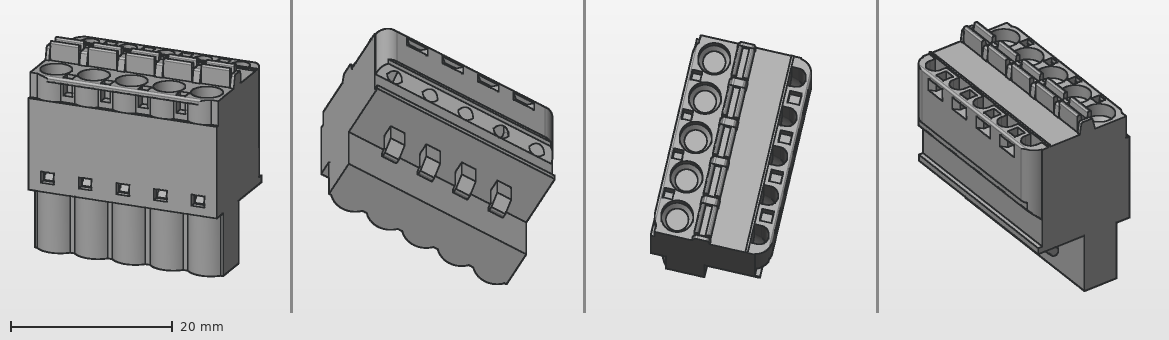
import cadquery as cq
import math


POLES = 5
PITCH = 5.08
WIDTH = POLES * PITCH
POLE_XS = [(i - (POLES - 1) / 2) * PITCH for i in range(POLES)]
GAP_XS = [x + PITCH / 2 for x in POLE_XS[:-1]]

HOUSING_BOTTOM = 8.3
HOUSING_TOP = 23.65
HOUSING_BACK = 13.27
FOOT_BACK = 13.9
FOOT_TOP = 9.2
WIRE_WALL_BACK = 15.0
WIRE_WALL_STEP_Z = 15.63
WIRE_WALL_CHAMFER_Z = 14.5
WIRE_WALL_LOW_Z = 13.15
EDGE_ROUND = 0.27
WIRE_WALL_STEP_BACK = WIRE_WALL_BACK - EDGE_ROUND
CORNER_SHOULDER = 0.12
CORNER_RUN = 2.0
CORNER_RISE = WIRE_WALL_BACK - HOUSING_BACK
CORNER_RADIUS = (CORNER_RUN**2 + CORNER_RISE**2) / (2 * CORNER_RISE)

LEDGE_Z = 20.4
SCREW_Y = 2.8
SCALLOP_RADIUS = SCREW_Y
SCALLOP_HALF_CHORD = 1.58
RECESS_Y = SCREW_Y - math.sqrt(SCALLOP_RADIUS**2 - SCALLOP_HALF_CHORD**2)
LIP_BOTTOM = 22.96

SCREW_HOLE_RADIUS = 2.0
SCREW_SEAT_RADIUS = 1.4
SCREW_HOLE_DEPTH = 1.75
SCREW_CONE_DEPTH = 0.7

POCKET_FLOOR = 21.25
FRONT_POCKET = 1.25
BACK_POCKET = 1.5
BACK_POCKET_FRONT = 12.84
BACK_WINDOW_WIDTH = 3.0

WIRE_RADIUS = 1.19
WIRE_FRONT = 12.34
WIRE_Y = 13.23
WIRE_FLOOR_TILT = 30.0

RIDGE_WIDTH = 0.31
RIDGE_HEIGHT = 0.22

RAIL_TOP = 26.1
WEB_TOP = 25.35
WEB_BASE_FRONT = 5.24
WEB_BASE_BACK = 7.55
WEB_TOP_FRONT = 5.65
WEB_TOP_BACK = 7.31
WEB_ROUND = 0.28
FINGER_WIDTH = 3.84
FINGER_GAP = 0.13
FINGERS_FRONT = 5.39
FINGERS_BACK = 7.48
SLOT_FLOOR = 25.0
SLOT_FRONT = 6.0
SLOT_BACK = 6.8
SLOT_FLARE = 0.12
FINGER_ROUND = 0.2

WINDOW_WIDTH = 1.75
WINDOW_BOTTOM = 9.48
WINDOW_TOP = 10.94
WINDOW_DEPTH = 0.83
WEDGE_WIDTH = 1.2
WEDGE_FRONT = 0.4
WEDGE_BOTTOM = 9.65
WEDGE_STEP = 9.78
WEDGE_TOP = 10.7

PLUG_FRONT = 1.95
PLUG_BACK = 6.85
PLUG_BULGE = 0.97
PLUG_HALF_CHORD = 2.235

HOOK_WIDTH = 2.0
HOOK_FRONT = 8.5
HOOK_BACK = 10.17
HOOK_BEND_Z = 5.15
HOOK_BOTTOM = 3.7
HOOK_TIP_Y = 7.95
HOOK_TIP_ROUND = 0.4

OVERLAP = 0.2


def block(x_center, x_size, y_min, y_max, z_min, z_max):
    """Rectangular block centred in X and spanning the given Y and Z ranges."""
    size = (x_size, y_max - y_min, z_max - z_min)
    return cq.Workplane("XY").box(*size, centered=(True, False, False)).translate((x_center, y_min, z_min))


def extrude_along_x(side_points, x_center, x_size):
    """Extrude a closed (y, z) polygon symmetrically about x_center."""
    return (
        cq.Workplane("YZ", origin=(x_center, 0, 0))
        .polyline(side_points)
        .close()
        .extrude(x_size / 2, both=True)
    )


def make_housing():
    """Side profile of the housing, trimmed to the round back corners."""
    round_mid = EDGE_ROUND * (1 - math.sqrt(0.5))
    profile = (
        cq.Workplane("YZ")
        .moveTo(0, HOUSING_BOTTOM)
        .lineTo(0, HOUSING_TOP - EDGE_ROUND)
        .threePointArc((round_mid, HOUSING_TOP - round_mid), (EDGE_ROUND, HOUSING_TOP))
        .lineTo(WIRE_WALL_STEP_BACK, HOUSING_TOP)
        .threePointArc(
            (WIRE_WALL_BACK - round_mid, HOUSING_TOP - round_mid),
            (WIRE_WALL_BACK, HOUSING_TOP - EDGE_ROUND),
        )
        .lineTo(WIRE_WALL_BACK, WIRE_WALL_STEP_Z)
        .lineTo(WIRE_WALL_STEP_BACK, WIRE_WALL_STEP_Z)
        .lineTo(WIRE_WALL_STEP_BACK, WIRE_WALL_CHAMFER_Z)
        .lineTo(HOUSING_BACK, WIRE_WALL_LOW_Z)
        .lineTo(HOUSING_BACK, HOUSING_BOTTOM)
        .close()
        .extrude(WIDTH / 2, both=True)
    )
    half = WIDTH / 2
    corner_half = half - CORNER_SHOULDER
    straight_half = corner_half - CORNER_RUN
    plan = (
        cq.Workplane("XY")
        .moveTo(-half, 0)
        .lineTo(half, 0)
        .lineTo(half, HOUSING_BACK)
        .lineTo(corner_half, HOUSING_BACK)
        .radiusArc((straight_half, WIRE_WALL_BACK), -CORNER_RADIUS)
        .lineTo(-straight_half, WIRE_WALL_BACK)
        .radiusArc((-corner_half, HOUSING_BACK), -CORNER_RADIUS)
        .lineTo(-half, HOUSING_BACK)
        .close()
        .extrude(HOUSING_TOP)
    )
    foot = block(0, WIDTH, HOUSING_BACK - OVERLAP, FOOT_BACK, HOUSING_BOTTOM, FOOT_TOP)
    ridge = block(0, WIDTH, WIRE_FRONT - RIDGE_WIDTH, WIRE_FRONT, HOUSING_TOP - OVERLAP,
                  HOUSING_TOP + RIDGE_HEIGHT)
    return profile.intersect(plan).union(foot).union(ridge)


def make_front_recess():
    """Material removed above the ledge, leaving the scallops and the lip that joins them."""
    recess = block(0, WIDTH, -OVERLAP, RECESS_Y, LEDGE_Z, HOUSING_TOP)
    lip = block(0, POLE_XS[-1] - POLE_XS[0], -OVERLAP, RECESS_Y, LIP_BOTTOM, HOUSING_TOP)
    recess = recess.cut(lip)
    for x in POLE_XS:
        scallop = cq.Workplane("XY", origin=(x, SCREW_Y, LEDGE_Z)).circle(SCALLOP_RADIUS)
        recess = recess.cut(scallop.extrude(HOUSING_TOP - LEDGE_Z))
    return recess


def make_screw_hole(x):
    """Stepped hole with a conical transition down to the screw head."""
    cone_top = HOUSING_TOP - SCREW_HOLE_DEPTH
    profile = [
        (0, HOUSING_TOP),
        (SCREW_HOLE_RADIUS, HOUSING_TOP),
        (SCREW_HOLE_RADIUS, cone_top),
        (SCREW_SEAT_RADIUS, cone_top - SCREW_CONE_DEPTH),
        (0, cone_top - SCREW_CONE_DEPTH),
    ]
    hole = cq.Workplane("XZ").polyline(profile).close().revolve(360, (0, 0, 0), (0, 1, 0))
    return hole.translate((x, SCREW_Y, 0))


def make_test_pockets(x):
    """Square pockets near the front and back, the rear one flaring out below the back lip."""
    front = block(x, FRONT_POCKET, RECESS_Y, RECESS_Y + FRONT_POCKET, POCKET_FLOOR, HOUSING_TOP)
    pocket_back = BACK_POCKET_FRONT + BACK_POCKET
    back = block(x, BACK_POCKET, BACK_POCKET_FRONT, pocket_back, POCKET_FLOOR, HOUSING_TOP)
    back_window = (
        cq.Workplane("XY", origin=(x, 0, POCKET_FLOOR))
        .moveTo(-BACK_POCKET / 2, pocket_back)
        .lineTo(BACK_POCKET / 2, pocket_back)
        .lineTo(BACK_WINDOW_WIDTH / 2, WIRE_WALL_BACK)
        .lineTo(-BACK_WINDOW_WIDTH / 2, WIRE_WALL_BACK)
        .close()
        .extrude(LIP_BOTTOM - POCKET_FLOOR)
    )
    return front.union(back).union(back_window)


def make_wire_entry(x):
    """U-shaped well whose floor is a tilted trough running out of the back."""
    well_height = HOUSING_TOP - HOUSING_BOTTOM
    well = (
        cq.Workplane("XY", origin=(x, WIRE_Y, HOUSING_BOTTOM))
        .circle(WIRE_RADIUS)
        .extrude(well_height)
        .union(block(x, 2 * WIRE_RADIUS, WIRE_FRONT, WIRE_Y, HOUSING_BOTTOM, HOUSING_TOP))
        .intersect(block(x, 2 * WIRE_RADIUS, WIRE_FRONT, WIRE_WALL_BACK, HOUSING_BOTTOM, HOUSING_TOP))
    )
    tilt = math.radians(WIRE_FLOOR_TILT)
    trough_plane = cq.Plane(
        origin=(x, HOUSING_BACK, WIRE_WALL_LOW_Z),
        xDir=(1, 0, 0),
        normal=(0, -math.sin(tilt), math.cos(tilt)),
    )
    trough = (
        cq.Workplane(trough_plane)
        .moveTo(-WIRE_RADIUS, WIRE_RADIUS)
        .threePointArc((0, 0), (WIRE_RADIUS, WIRE_RADIUS))
        .lineTo(WIRE_RADIUS, well_height)
        .lineTo(-WIRE_RADIUS, well_height)
        .close()
        .extrude(well_height, both=True)
    )
    return well.intersect(trough)


def make_web():
    """Low rail with sloping sides and a rounded top, running the full width."""
    base = HOUSING_TOP - OVERLAP
    profile = [
        (WEB_BASE_FRONT, base),
        (WEB_BASE_FRONT, HOUSING_TOP),
        (WEB_TOP_FRONT, WEB_TOP),
        (WEB_TOP_BACK, WEB_TOP),
        (WEB_BASE_BACK, HOUSING_TOP),
        (WEB_BASE_BACK, base),
    ]
    return extrude_along_x(profile, 0, WIDTH).faces(">Z").edges("|X").fillet(WEB_ROUND)


def make_fingers(x):
    """Pair of upright fingers that grip a marker strip."""
    pair = block(x, FINGER_WIDTH, FINGERS_FRONT, FINGERS_BACK, HOUSING_TOP - OVERLAP, RAIL_TOP)
    slot_profile = [
        (SLOT_FRONT, SLOT_FLOOR),
        (SLOT_FRONT - SLOT_FLARE, RAIL_TOP),
        (SLOT_BACK + SLOT_FLARE, RAIL_TOP),
        (SLOT_BACK, SLOT_FLOOR),
    ]
    slot = extrude_along_x(slot_profile, x, FINGER_WIDTH)
    return pair.cut(slot).faces(">Z").edges("|X").fillet(FINGER_ROUND)


def make_marker_rail():
    """Web interrupted at each pole by a pair of fingers with a small gap at either side."""
    rail = make_web()
    for x in POLE_XS:
        rail = rail.cut(block(x, FINGER_WIDTH + 2 * FINGER_GAP, WEB_BASE_FRONT, WEB_BASE_BACK,
                              HOUSING_TOP, WEB_TOP))
    for x in POLE_XS:
        rail = rail.union(make_fingers(x))
    return rail


def make_latch_window(x):
    """Shallow front window with a sloping wedge standing on its back wall."""
    window = block(x, WINDOW_WIDTH, 0, WINDOW_DEPTH, WINDOW_BOTTOM, WINDOW_TOP)
    wedge_profile = [
        (WINDOW_DEPTH, WEDGE_BOTTOM),
        (WEDGE_FRONT, WEDGE_BOTTOM),
        (WEDGE_FRONT, WEDGE_STEP),
        (WINDOW_DEPTH, WEDGE_TOP),
    ]
    return window.cut(extrude_along_x(wedge_profile, x, WEDGE_WIDTH))


def make_plug():
    """Plug block with one bulging front per pole."""
    height = HOUSING_BOTTOM + OVERLAP
    plug = block(0, WIDTH, PLUG_FRONT, PLUG_BACK, 0, height)
    for x in POLE_XS:
        bulge = (
            cq.Workplane("XY")
            .moveTo(x - PLUG_HALF_CHORD, PLUG_FRONT)
            .threePointArc((x, PLUG_FRONT - PLUG_BULGE), (x + PLUG_HALF_CHORD, PLUG_FRONT))
            .lineTo(x + PLUG_HALF_CHORD, PLUG_BACK)
            .lineTo(x - PLUG_HALF_CHORD, PLUG_BACK)
            .close()
            .extrude(height)
        )
        plug = plug.union(bulge)
    return plug


def make_hook(x):
    """Latch hook hanging below the housing and bent toward the plug."""
    top = HOUSING_BOTTOM + OVERLAP
    bend_run = HOOK_FRONT - HOOK_TIP_Y
    tip_z = HOOK_BEND_Z - bend_run
    bend_drop = HOOK_BEND_Z - HOOK_BOTTOM
    profile = [
        (HOOK_FRONT, top),
        (HOOK_FRONT, HOOK_BEND_Z),
        (HOOK_TIP_Y, tip_z),
        (HOOK_TIP_Y, HOOK_BOTTOM),
        (HOOK_BACK - bend_drop, HOOK_BOTTOM),
        (HOOK_BACK, HOOK_BEND_Z),
        (HOOK_BACK, top),
    ]
    hook = extrude_along_x(profile, x, HOOK_WIDTH)
    return hook.edges("|X").edges("<Y").edges("<Z").fillet(HOOK_TIP_ROUND)


part = make_housing().cut(make_front_recess())
for pole_x in POLE_XS:
    part = part.cut(make_screw_hole(pole_x))
    part = part.cut(make_wire_entry(pole_x))
    part = part.cut(make_latch_window(pole_x))
for gap_x in GAP_XS:
    part = part.cut(make_test_pockets(gap_x))
    part = part.union(make_hook(gap_x))

result = part.union(make_plug()).union(make_marker_rail())